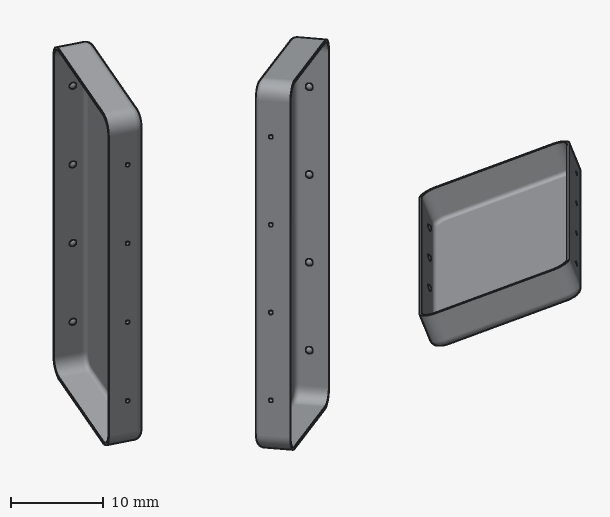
import cadquery as cq

width = 17.4
depth = 4.0
height = 42.1

wall = 0.3
corner_radius = 1.9
back_edge_radius = 0.8

bump_radius = 0.5
dimple_radius = 0.23
dimple_count = 4
dimple_pitch = 10.0
dimple_from_rim = 2.15


def rounded_block(inset):
    """Solid block with rounded corners and a rounded back edge, inset from the outer faces."""
    return (
        cq.Workplane("XZ")
        .rect(width - 2 * inset, height - 2 * inset)
        .extrude(-(depth - inset))
        .edges("|Y")
        .fillet(corner_radius - inset)
        .faces(">Y")
        .edges()
        .fillet(back_edge_radius - inset)
    )


def half_ball(radius, side, z):
    """Half ball centred on the outer face of a side wall and bulging inward."""
    center = cq.Vector(side * width / 2, dimple_from_rim, z)
    inward = cq.Vector(-side, 0, 0)
    return cq.Workplane(cq.Solid.makeSphere(radius, center, inward, 0, 90, 360))


cavity = rounded_block(wall)
hollows = []
for wall_side in (-1, 1):
    for index in range(dimple_count):
        dimple_z = (index - (dimple_count - 1) / 2) * dimple_pitch
        cavity = cavity.cut(half_ball(bump_radius, wall_side, dimple_z), clean=False)
        hollows.append(half_ball(dimple_radius, wall_side, dimple_z))

tray = rounded_block(0).cut(cavity, clean=False)
for hollow in hollows:
    tray = tray.cut(hollow, clean=False)

result = tray